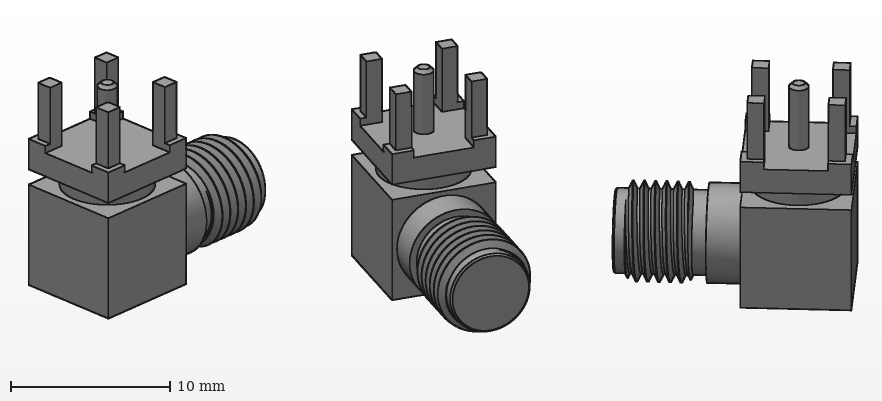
import cadquery as cq


body_size = 7.0
body_mid = body_size / 2

neck_diameter = 6.04
neck_height = 1.05
plate_thickness = 1.63
pad_size = 1.48
pad_height = 0.5
leg_size = 1.05
pins_top = 14.1

pin_diameter = 1.27
pin_chamfer = 0.24

flange_diameter = 6.34
flange_length = 2.19
barrel_diameter = 5.39
barrel_end = 15.1
barrel_chamfer = 0.12

thread_diameter = 6.37
thread_pitch = 0.705
thread_start = 10.1
thread_end = 14.35
crest_position = 10.6
crest_width = 0.06
ridge_base_width = 0.59
ridge_overlap = 0.05
trim_clearance = 0.06
thread_chamfer_depth = 0.5
thread_chamfer_length = 0.27

plate_bottom = body_size + neck_height
plate_top = plate_bottom + plate_thickness


def square_block(size, height, bottom):
    """Square block centred over the body."""
    return (
        cq.Workplane("XY", origin=(0, body_mid, bottom))
        .rect(size, size)
        .extrude(height)
    )


def upright_cylinder(diameter, bottom, top):
    """Cylinder along Z, centred over the body."""
    return (
        cq.Workplane("XY", origin=(0, body_mid, bottom))
        .circle(diameter / 2)
        .extrude(top - bottom)
    )


def barrel_cylinder(diameter, start, end):
    """Cylinder along the barrel axis, from one Y to another."""
    return (
        cq.Workplane("XZ", origin=(0, start, body_mid))
        .circle(diameter / 2)
        .extrude(start - end)
    )


def corner_blocks(size, centre_offset, bottom, top):
    """Four square blocks, one over each corner of the foot."""
    spacing = 2 * centre_offset
    return (
        cq.Workplane("XY", origin=(0, body_mid, bottom))
        .rarray(spacing, spacing, 2, 2)
        .rect(size, size)
        .extrude(top - bottom)
    )


def thread_ridge():
    """Helical ridge, swept past both ends and trimmed to bevelled ends."""
    run_out = 2 * thread_pitch
    helix_start = crest_position - run_out
    helix_length = thread_end + thread_pitch - helix_start
    root_radius = barrel_diameter / 2 - ridge_overlap
    crest_radius = thread_diameter / 2

    helix = cq.Wire.makeHelix(thread_pitch, helix_length, root_radius)
    ridge = (
        cq.Workplane("XZ")
        .polyline([
            (root_radius, -ridge_base_width / 2),
            (crest_radius, -crest_width / 2),
            (crest_radius, crest_width / 2),
            (root_radius, ridge_base_width / 2),
        ])
        .close()
        .sweep(cq.Workplane(obj=helix), isFrenet=True)
        .rotate((0, 0, 0), (1, 0, 0), -90)
        .translate((0, helix_start, body_mid))
    )
    trim_radius = crest_radius + trim_clearance
    bevel_radius = trim_radius - thread_chamfer_depth
    trim = (
        cq.Workplane("XY")
        .polyline([
            (0, thread_start),
            (bevel_radius, thread_start),
            (trim_radius, thread_start + thread_chamfer_length),
            (trim_radius, thread_end - thread_chamfer_length),
            (bevel_radius, thread_end),
            (0, thread_end),
        ])
        .close()
        .revolve(360, (0, 0, 0), (0, 1, 0))
        .translate((0, 0, body_mid))
    )
    return ridge.intersect(trim)


body = square_block(body_size, body_size, 0)

neck = upright_cylinder(neck_diameter, body_size, plate_bottom)
plate = square_block(body_size, plate_thickness, plate_bottom)
pads = corner_blocks(pad_size, body_mid - pad_size / 2, plate_top, plate_top + pad_height)

leg_offset = body_mid - pad_size + leg_size / 2
legs = corner_blocks(leg_size, leg_offset, plate_top, pins_top)

pin = upright_cylinder(pin_diameter, plate_top, pins_top).faces(">Z").chamfer(pin_chamfer)

flange_end = body_size + flange_length
flange = barrel_cylinder(flange_diameter, body_size, flange_end)
barrel = barrel_cylinder(barrel_diameter, flange_end, barrel_end).faces(">Y").chamfer(barrel_chamfer)
threaded_barrel = barrel.union(thread_ridge())

result = body
for feature in (neck, plate, pads, legs, pin, flange, threaded_barrel):
    result = result.union(feature)